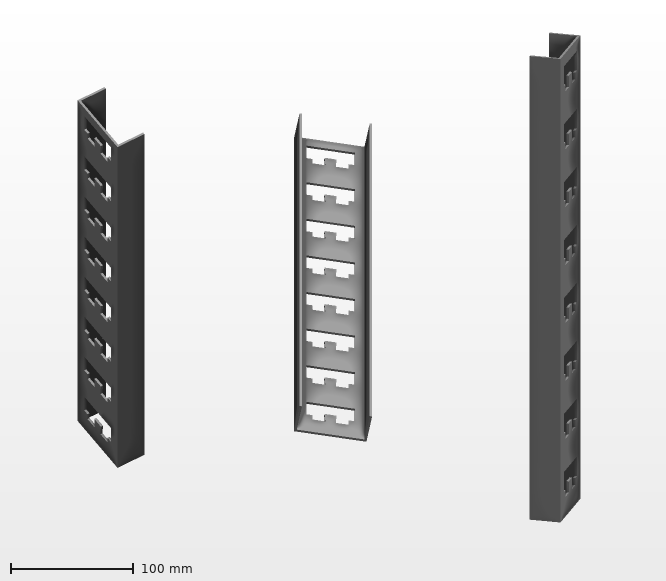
import cadquery as cq
import math

width = 60.0
depth = 26.0
length = 400.0
sheet = 2.0

window_count = 8
window_pitch = length / window_count
first_window_drop = 10.0

upper_width = 40.0
lower_width = 30.0
lower_height = 6.0
upper_height = (window_pitch - first_window_drop - lower_height) / 2
window_height = upper_height + lower_height

tab_height = 10.0
tab_tip_width = 10.0
tab_side_lean = 4.0
tab_root_width = tab_tip_width - 2 * tab_height * math.tan(math.radians(tab_side_lean))


def channel():
    """U channel along Z: web on the -Y side, flanges pointing to +Y, lower end at Z = 0."""
    outer = cq.Workplane("XY").box(width, depth, length, centered=(True, False, False))
    inside = (
        cq.Workplane("XY", origin=(0, sheet, 0))
        .box(width - 2 * sheet, depth - sheet, length, centered=(True, False, False))
    )
    return outer.cut(inside)


def web_block(block_width, bottom, top):
    """Block centred on X, as thick as the web, between two heights."""
    return (
        cq.Workplane("XY", origin=(0, 0, bottom))
        .box(block_width, sheet, top - bottom, centered=(True, False, False))
    )


def tab(bottom):
    """Dovetail tab of web thickness, standing on the given height."""
    top = bottom + tab_height
    outline = [
        (-tab_root_width / 2, bottom),
        (-tab_tip_width / 2, top),
        (tab_tip_width / 2, top),
        (tab_root_width / 2, bottom),
    ]
    return cq.Workplane("XZ").polyline(outline).close().extrude(-sheet)


def window_cutter(top):
    """Material removed for one window whose top edge is at the given height."""
    bottom = top - window_height
    upper = web_block(upper_width, top - upper_height, top)
    lower = web_block(lower_width, bottom, top)
    return upper.union(lower).cut(tab(bottom))


result = channel()
for index in range(window_count):
    window_top = length - first_window_drop - index * window_pitch
    result = result.cut(window_cutter(window_top))